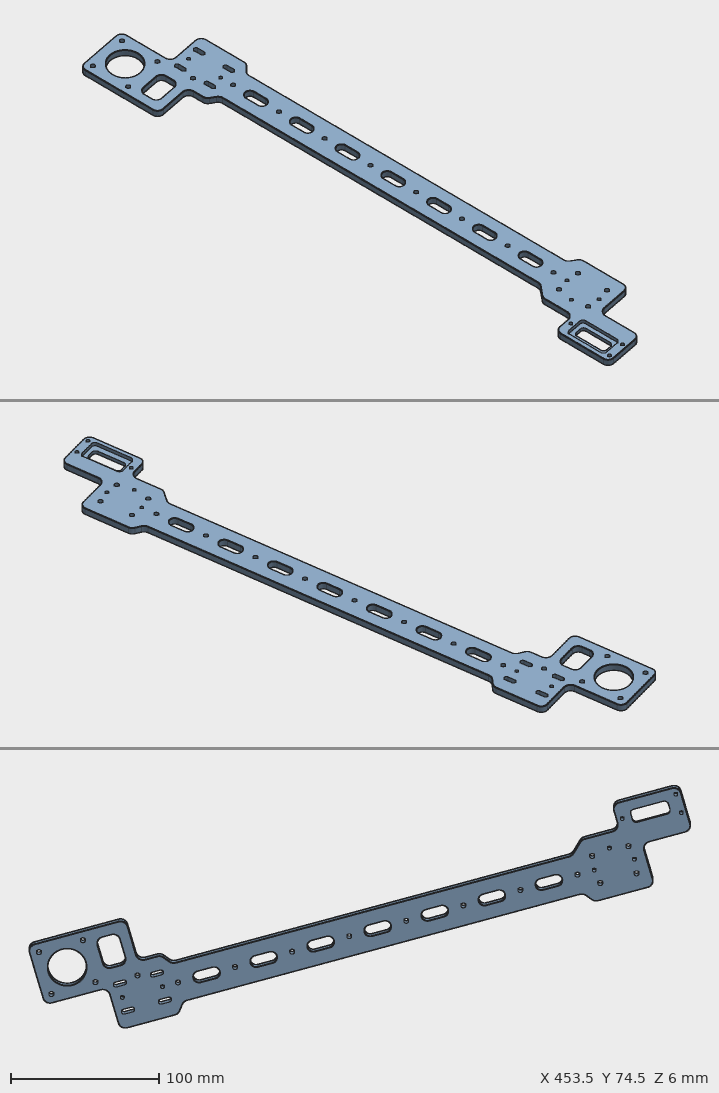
import cadquery as cq

thickness = 6.0
length = 453.5
overall_height = 74.5
corner_radius = 5.0
edge_chamfer = 0.5

rail_half_width = 14.0
rail_left = 90.5
rail_right = 370.5
rail_hole_count = 8
rail_pitch = (rail_right - rail_left) / (rail_hole_count - 1)
pad_top = 21.8
left_pad_bottom = -pad_top
right_pad_bottom = -23.0
pad_slope_run = 6.0
lower_right_slope_run = 9.5
left_pad_right = rail_left - pad_slope_run
right_pad_left = rail_right + pad_slope_run

motor_plate_right = 69.0
motor_plate_top = -9.0
motor_plate_bottom = pad_top - overall_height
left_pad_left = 44.0

servo_arm_left = 406.2
servo_arm_top = motor_plate_top
servo_arm_bottom = -41.5
right_pad_right = 418.5

rail_hole = 3.3
mount_hole = 3.4
small_hole = 2.55

rail_slot_length = 18.0
rail_slot_width = 7.5

motor_x = 21.8
motor_y = -31.0
motor_bore = 26.0
motor_hole_spacing = 31.0

window_x = 53.5
window_y = -33.5
window_width = 15.5
window_height = 22.0
window_radius = 4.5

left_pad_x = 65.7
right_pad_x = 396.3
pad_row_y = 10.0
left_slot_spacing = 26.0
left_slot_length = 9.0
left_slot_width = 3.4
right_hole_spacing = 25.5
pin_spacing = 28.0
lower_hole_y = -12.2

servo_x = 430.0
servo_y = -30.0
servo_window_y = -29.5
servo_pocket_width = 32.5
servo_pocket_height = 17.0
servo_pocket_depth = thickness / 2
servo_pocket_radius = 2.5
servo_window_width = 26.5
servo_window_height = 9.5
servo_window_radius = 2.5
servo_left_hole_x = 410.5
servo_right_hole_x = 449.8
servo_right_hole_spacing = 13.5


def plate_blank():
    outline = [
        (0, motor_plate_bottom),
        (motor_plate_right, motor_plate_bottom),
        (motor_plate_right, left_pad_bottom),
        (left_pad_right, left_pad_bottom),
        (rail_left, -rail_half_width),
        (rail_right, -rail_half_width),
        (rail_right + lower_right_slope_run, right_pad_bottom),
        (servo_arm_left, right_pad_bottom),
        (servo_arm_left, servo_arm_bottom),
        (length, servo_arm_bottom),
        (length, servo_arm_top),
        (right_pad_right, servo_arm_top),
        (right_pad_right, pad_top),
        (right_pad_left, pad_top),
        (rail_right, rail_half_width),
        (rail_left, rail_half_width),
        (left_pad_right, pad_top),
        (left_pad_left, pad_top),
        (left_pad_left, motor_plate_top),
        (0, motor_plate_top),
    ]
    blank = cq.Workplane("XY").polyline(outline).close().extrude(thickness)
    return blank.edges("|Z").fillet(corner_radius)


def round_cuts(points, diameter):
    return cq.Workplane("XY").pushPoints(points).circle(diameter / 2).extrude(thickness)


def slot_cuts(points, slot_length, slot_width):
    return cq.Workplane("XY").pushPoints(points).slot2D(slot_length, slot_width).extrude(thickness)


def rounded_window(x, y, width, height, radius, floor=0.0):
    """Rounded rectangular cutter reaching from the floor height to the top face."""
    block = cq.Workplane("XY", origin=(x, y, floor)).rect(width, height).extrude(thickness - floor)
    return block.edges("|Z").fillet(radius)


def corner_points(x, y, x_spacing, y_spacing):
    return [(x + i * x_spacing / 2, y + j * y_spacing / 2) for i in (-1, 1) for j in (-1, 1)]


def pair_points(x, y, spacing):
    return [(x - spacing / 2, y), (x + spacing / 2, y)]


plate = plate_blank()

rail_hole_points = [(rail_left + i * rail_pitch, 0) for i in range(rail_hole_count)]
rail_slot_points = [(x + rail_pitch / 2, 0) for x, _ in rail_hole_points[:-1]]
plate = plate.cut(slot_cuts(rail_slot_points, rail_slot_length, rail_slot_width))
plate = plate.cut(round_cuts([(motor_x, motor_y)], motor_bore))
plate = plate.cut(rounded_window(window_x, window_y, window_width, window_height, window_radius))

plate = plate.faces("<Z or >Z").edges().chamfer(edge_chamfer)

motor_hole_points = corner_points(motor_x, motor_y, motor_hole_spacing, motor_hole_spacing)
plate = plate.cut(round_cuts(rail_hole_points, rail_hole))
plate = plate.cut(round_cuts(motor_hole_points, mount_hole))

left_slot_points = corner_points(left_pad_x, 0, left_slot_spacing, 2 * pad_row_y)
plate = plate.cut(slot_cuts(left_slot_points, left_slot_length, left_slot_width))

right_hole_points = corner_points(right_pad_x, 0, right_hole_spacing, 2 * pad_row_y)
plate = plate.cut(round_cuts(right_hole_points, mount_hole))

for pad_x, lower_diameter in ((left_pad_x, rail_hole), (right_pad_x, small_hole)):
    plate = plate.cut(round_cuts(pair_points(pad_x, 0, pin_spacing), small_hole))
    plate = plate.cut(round_cuts([(pad_x, lower_hole_y)], lower_diameter))

servo_hole_points = [
    (servo_left_hole_x, servo_y),
    (servo_right_hole_x, servo_y + servo_right_hole_spacing / 2),
    (servo_right_hole_x, servo_y - servo_right_hole_spacing / 2),
]
pocket_floor = thickness - servo_pocket_depth
plate = plate.cut(
    rounded_window(
        servo_x, servo_y, servo_pocket_width, servo_pocket_height, servo_pocket_radius, pocket_floor
    )
)
plate = plate.cut(
    rounded_window(
        servo_x, servo_window_y, servo_window_width, servo_window_height, servo_window_radius
    )
)
plate = plate.cut(round_cuts(servo_hole_points, small_hole))

result = plate